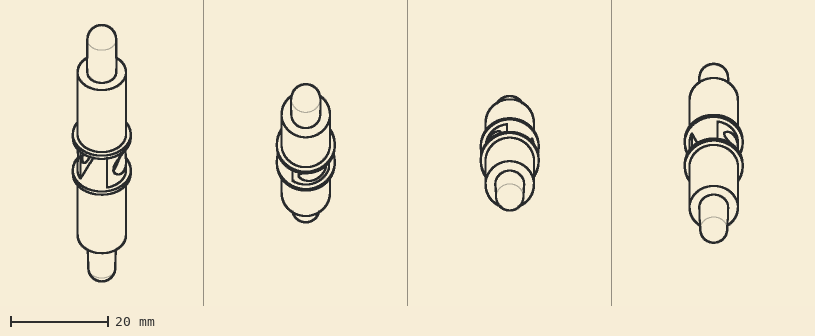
import cadquery as cq

total_length = 75.8
barrel_radius = 5.0
flange_radius = 6.0
flange_thickness = 1.0
window_height = 10.0
window_width = 6.0
pin_length = 10.0
upper_pin_radius = window_width / 2
lower_dome_radius = 2.8
cross_hole_diameter = window_width

barrel_length = (
    total_length - upper_pin_radius - lower_dome_radius
    - 2 * pin_length - 2 * flange_thickness - window_height
) / 2

flange_inner = window_height / 2
flange_outer = flange_inner + flange_thickness
barrel_end = flange_outer + barrel_length
pin_end = barrel_end + pin_length


def make_barrel():
    """Barrel running the full length between the two pins."""
    return cq.Workplane("XY").workplane(offset=-barrel_end).circle(barrel_radius).extrude(2 * barrel_end)


def make_flange(bottom):
    """Thin collar around the barrel."""
    return cq.Workplane("XY").workplane(offset=bottom).circle(flange_radius).extrude(flange_thickness)


def make_pin(direction, root_radius, dome_radius):
    """Round-ended pin pointing up (direction 1) or down (direction -1)."""
    dome_mid = dome_radius * 0.5 ** 0.5
    return (
        cq.Workplane("XZ")
        .moveTo(0, direction * barrel_end)
        .lineTo(root_radius, direction * barrel_end)
        .lineTo(dome_radius, direction * pin_end)
        .threePointArc(
            (dome_mid, direction * (pin_end + dome_mid)),
            (0, direction * (pin_end + dome_radius)),
        )
        .close()
        .revolve(360, (0, 0, 0), (0, 1, 0))
    )


body = (
    make_barrel()
    .union(make_flange(flange_inner))
    .union(make_flange(-flange_outer))
    .union(make_pin(1, upper_pin_radius, upper_pin_radius))
    .union(make_pin(-1, upper_pin_radius, lower_dome_radius))
)

window = cq.Workplane("XY").box(window_width, 2 * flange_radius, window_height)

cross_hole = (
    cq.Workplane("YZ").circle(cross_hole_diameter / 2).extrude(flange_radius, both=True)
)

result = body.cut(window).cut(cross_hole)